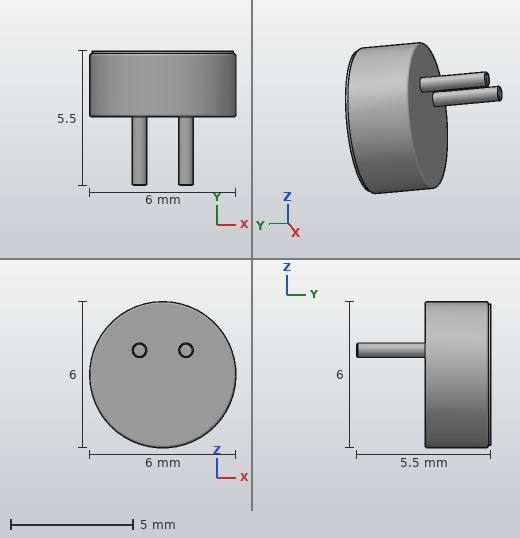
import cadquery as cq

body_diameter = 6.0
body_length = 2.7
edge_radius = 0.1
step_height = 0.1
step_diameter = body_diameter - 2 * edge_radius

pin_diameter = 0.6
pin_length = 2.8
pin_spacing = 1.9
pin_height = 1.0
pin_chamfer = 0.05


def cylinder_along_y(diameter, start, length, x=0, z=0):
    """Cylinder running from Y = start towards +Y."""
    axis_start = cq.Vector(x, start, z)
    return cq.Workplane(
        cq.Solid.makeCylinder(diameter / 2, length, axis_start, cq.Vector(0, 1, 0))
    )


def make_body():
    """Main drum with rounded rims and the smaller disc behind it; pin face at Y = 0."""
    drum_length = body_length - step_height
    drum = cylinder_along_y(body_diameter, 0, drum_length)
    drum = drum.faces("<Y or >Y").edges().fillet(edge_radius)
    disc_start = drum_length / 2
    disc = cylinder_along_y(step_diameter, disc_start, body_length - disc_start)
    return drum.union(disc)


def make_pin(x):
    """Contact pin with a chamfered tip."""
    pin = cylinder_along_y(pin_diameter, -pin_length, pin_length, x, pin_height)
    return pin.faces("<Y").edges().chamfer(pin_chamfer)


result = make_body()
for side in (-1, 1):
    result = result.union(make_pin(side * pin_spacing / 2))